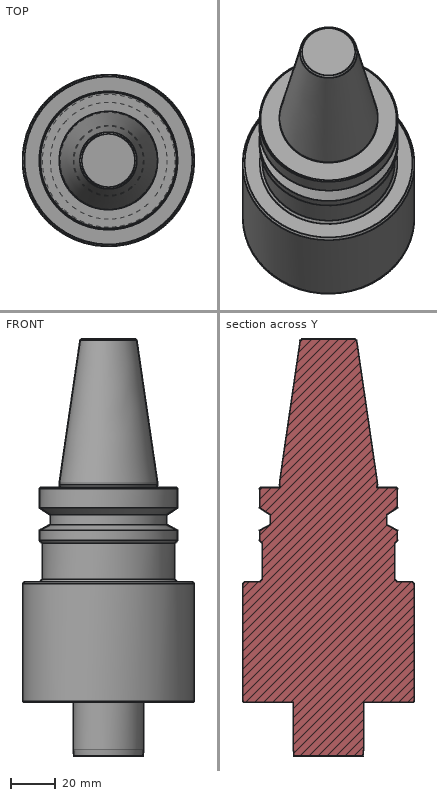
import cadquery as cq

total_length = 189.4
taper_length = 65.3
flange_top = 67.5
groove_top = 76.7
groove_bottom = 87.0
flange_bottom = 92.8
body_top = 110.2
body_bottom = 165.0

taper_large_diameter = 44.7
flange_diameter = 62.9
groove_diameter = 53.0
collar_diameter = 60.2
body_diameter = 78.0
pilot_diameter = 32.2
pilot_tip_diameter = 31.5

taper_rate = 7 / 24
taper_tip_chamfer = 0.8
neck_relief_depth = 0.4
neck_relief_length = 1.1
groove_upper_flank = 3.2
groove_lower_flank = 2.7
flange_top_chamfer = 0.5
body_top_chamfer = 1.0
body_bottom_chamfer = 0.5
collar_flare = 1.1
pilot_tip_length = 3.2

taper_large_radius = taper_large_diameter / 2
taper_small_radius = taper_large_radius - taper_length * taper_rate / 2
flange_radius = flange_diameter / 2
groove_radius = groove_diameter / 2
collar_radius = collar_diameter / 2
body_radius = body_diameter / 2
pilot_radius = pilot_diameter / 2
pilot_tip_radius = pilot_tip_diameter / 2
flange_bottom_chamfer = flange_radius - collar_radius

taper = [
    (0, 0),
    (taper_small_radius - taper_tip_chamfer, 0),
    (taper_small_radius + taper_tip_chamfer * taper_rate / 2, taper_tip_chamfer),
    (taper_large_radius, taper_length),
    (taper_large_radius, flange_top - neck_relief_length),
    (taper_large_radius - neck_relief_depth, flange_top),
]
flange = [
    (flange_radius - flange_top_chamfer, flange_top),
    (flange_radius, flange_top + flange_top_chamfer),
    (flange_radius, groove_top),
    (groove_radius, groove_top + groove_upper_flank),
    (groove_radius, groove_bottom - groove_lower_flank),
    (flange_radius, groove_bottom),
    (flange_radius, flange_bottom - flange_bottom_chamfer),
    (collar_radius, flange_bottom),
]
body = [
    (collar_radius, body_top - collar_flare),
    (collar_radius + collar_flare, body_top),
    (body_radius - body_top_chamfer, body_top),
    (body_radius, body_top + body_top_chamfer),
    (body_radius, body_bottom - body_bottom_chamfer),
    (body_radius - body_bottom_chamfer, body_bottom),
]
pilot = [
    (pilot_radius, body_bottom),
    (pilot_radius, total_length - pilot_tip_length),
    (pilot_tip_radius, total_length),
    (0, total_length),
]

half_profile = [(radius, total_length - depth) for radius, depth in taper + flange + body + pilot]
result = (
    cq.Workplane("XZ")
    .polyline(half_profile)
    .close()
    .revolve(360, (0, 0, 0), (0, 1, 0))
)